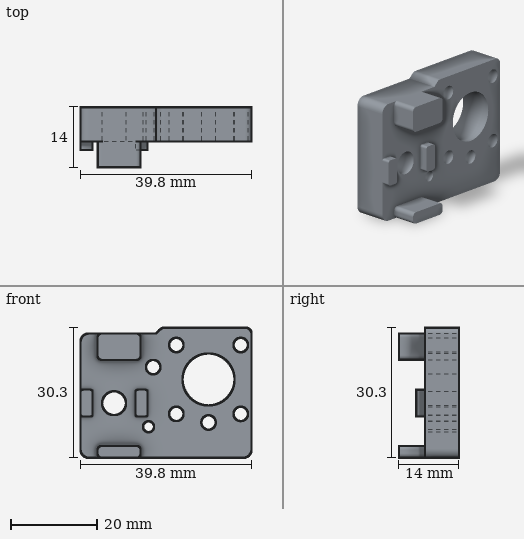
import cadquery as cq
import math

width = 39.8
height = 30.3
plate_thickness = 8.0
left_height = 28.95
corner_radius = 2.0
top_right_radius = 1.5

step_start_x = 17.6
step_radius = 1.5
step_angle = math.radians(45)

lug_length = 10.03
lug_left = 3.98
lug_depth = 6.0
lug_radius = 1.0
upper_lug_height = 6.15
lower_lug_height = 2.83
pad_width = 2.85
pad_height = 6.25
pad_depth = 2.0
pad_radius = 0.5
pad_bottom = 9.6
pad_spacing = 12.78

bore_diameter = 12.0
bore_x = 29.77
bore_z = 18.23
screw_diameter = 3.3
screw_half_spacing_x = 7.5
screw_half_spacing_z = 8.0
lower_screw_drop = 10.0
side_screw = (16.9, 21.1)
shaft_diameter = 5.5
shaft_center = ((pad_spacing + pad_width) / 2, pad_bottom + pad_height / 2)
pin_diameter = 2.5
pin_center = (15.85, 7.25)


def front_plane():
    """Sketch plane on the front face; local axes are X and Z, normal is -Y."""
    return cq.Workplane("XZ")


def make_plate():
    """Plate with rounded corners and a sloped, rounded step in its top edge."""
    arc_center_z = height - step_radius
    slope_end_z = arc_center_z + step_radius * math.cos(step_angle)
    slope_end_x = step_start_x + (slope_end_z - left_height) / math.tan(step_angle)
    arc_center_x = slope_end_x + step_radius * math.sin(step_angle)
    arc_middle = (
        arc_center_x - step_radius * math.sin(step_angle / 2),
        arc_center_z + step_radius * math.cos(step_angle / 2),
    )
    plate = (
        front_plane()
        .moveTo(0, 0)
        .lineTo(width, 0)
        .lineTo(width, height)
        .lineTo(arc_center_x, height)
        .threePointArc(arc_middle, (slope_end_x, slope_end_z))
        .lineTo(step_start_x, left_height)
        .lineTo(0, left_height)
        .close()
        .extrude(-plate_thickness)
    )
    top_right_edge = cq.selectors.NearestToPointSelector((width, plate_thickness / 2, height))
    plate = plate.edges("|Y").edges(top_right_edge).fillet(top_right_radius)
    for x, z in ((0, 0), (width, 0), (0, left_height)):
        corner_edge = cq.selectors.NearestToPointSelector((x, plate_thickness / 2, z))
        plate = plate.edges("|Y").edges(corner_edge).fillet(corner_radius)
    return plate


def make_block(left, bottom, length, block_height, depth, radius):
    """Rounded block rising from the front face."""
    return (
        front_plane()
        .moveTo(left + length / 2, bottom + block_height / 2)
        .rect(length, block_height)
        .extrude(depth)
        .edges("|Y")
        .fillet(radius)
    )


def drill(body, centers, diameter):
    """Cut round holes through the plate at the given (x, z) centers."""
    holes = front_plane().pushPoints(centers).circle(diameter / 2).extrude(-plate_thickness)
    return body.cut(holes)


result = make_plate()

for lug_height, lug_bottom in (
    (upper_lug_height, left_height - upper_lug_height),
    (lower_lug_height, 0),
):
    result = result.union(
        make_block(lug_left, lug_bottom, lug_length, lug_height, lug_depth, lug_radius)
    )

for pad_left in (0, pad_spacing):
    result = result.union(
        make_block(pad_left, pad_bottom, pad_width, pad_height, pad_depth, pad_radius)
    )

screw_centers = [
    (bore_x + side_x * screw_half_spacing_x, bore_z + side_z * screw_half_spacing_z)
    for side_x in (-1, 1)
    for side_z in (-1, 1)
]
screw_centers.append((bore_x, bore_z - lower_screw_drop))
screw_centers.append(side_screw)

result = drill(result, screw_centers, screw_diameter)
result = drill(result, [(bore_x, bore_z)], bore_diameter)
result = drill(result, [shaft_center], shaft_diameter)
result = drill(result, [pin_center], pin_diameter)